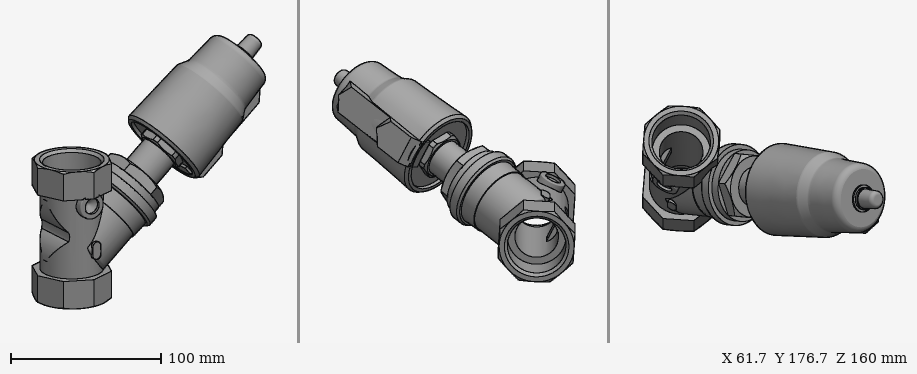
import cadquery as cq
import math


BODY_LENGTH = 97.0
BODY_BOTTOM = -30.6
BODY_TOP = BODY_BOTTOM + BODY_LENGTH
BODY_MIDDLE = BODY_BOTTOM + BODY_LENGTH / 2
PIPE_RADIUS = 21.2
BORE_DIAMETER = 29.0

END_HEIGHT = 20.0
END_SIDES = 8
END_CORNER_DIAMETER = 54.2
END_FACE_RADIUS = 25.0
CORNER_BEVEL_ANGLE = 30.0
THREAD_DIAMETER = 38.95
THREAD_DEPTH = 19.0
THREAD_MOUTH_DIAMETER = 43.0

NOTCH_TOP = 41.7
NOTCH_BOTTOM = -1.2
NOTCH_GROOVE_TOP = 21.9
NOTCH_GROOVE_BOTTOM = 15.5
NOTCH_GROOVE_Y = -13.3
NOTCH_DEEPEST_Y = -12.7
NOTCH_UPPER_RADIUS = 29.0
NOTCH_LOWER_RADIUS = 22.0
NOTCH_EDGE_Y = -21.1

RIDGE_CREST_Y = -11.6
RIDGE_CREST_TOP = 22.5
RIDGE_CREST_BOTTOM = 15.0

BOSS_DIAMETER = 18.2
BOSS_FACE_X = 24.9
BOSS_Z = 40.6
BOSS_EDGE_ROUND = 0.7
BOSS_HOLE_DIAMETER = 11.0
BOSS_HOLE_DEPTH = 2.0
DRILL_TIP_ANGLE = 118.0

PAD_LENGTH = 12.5
PAD_WIDTH = 6.5
PAD_FACE_X = 23.4
PAD_Y = 4.8
PAD_Z = 7.8

BRANCH_ELEVATION = 40.0
VERTICAL = 90.0
BRANCH_START = 4.1
BRANCH_RADIUS = 23.0
BRANCH_END_ROUND = 2.5
BRANCH_STEP = 35.9
BRANCH_STEP_RADIUS = 23.7
BRANCH_TOP_RADIUS = 24.3
FLANGE_START = 47.4
FLANGE_END = 55.5
FLANGE_RADIUS = 27.2
FLANGE_FACE_RADIUS = 51.7 / 2
FLANGE_BEVEL = 1.6
UNION_END = 61.6
UNION_RADIUS = 24.0
NUT_SIDES = 6
UNION_NUT_END = 69.9
UNION_NUT_CORNER_DIAMETER = 48.0
UNION_NUT_FACE_RADIUS = 20.5
NECK_DIAMETER = 26.0
LOCK_NUT_START = 90.6
LOCK_NUT_FLATS = 30.4
LOCK_NUT_CORNER_DIAMETER = LOCK_NUT_FLATS / math.cos(math.pi / NUT_SIDES)
LOCK_NUT_FACE_RADIUS = 29.0 / 2
LOCK_NUT_TURNED_DIAMETER = 33.1

HOUSING_START = 93.6
HOUSING_WIDEST = 95.8
HOUSING_FACE_RADIUS = 29.1
HOUSING_RADIUS = 30.84
HOUSING_RECESS_RADIUS = 26.6
HOUSING_RECESS_DEPTH = 2.6
SHOULDER_START = 142.9
SHOULDER_RADIUS = 28.7
SHOULDER_END = 152.1
SHOULDER_ROUND_RADIUS = 5.0
SHOULDER_CONE_START = (28.0, 144.6)
SHOULDER_CONE_END = (25.1, 150.0)
CAP_BASE_RADIUS = 24.7
CAP_ROUND_START = 171.2
CAP_ROUND_RADIUS = 23.5
CAP_END = 176.5
CAP_FACE_RADIUS = 38.95 / 2

COLLAR_DIAMETER = 18.2
COLLAR_END = 177.7
COLLAR_STEP_RADIUS = 7.5
COLLAR_STEP_END = 179.3
STEM_BASE_RADIUS = 6.6
STEM_TOP_RADIUS = 6.0
STEM_TOP = 189.0
STEM_END = 191.8
STEM_FACE_RADIUS = 3.0

BLOCK_HALF_WIDTH = 10.0
BLOCK_ROOT = 18.0
BLOCK_NEAR_EDGE = 28.8
LONG_BLOCK = {"reach": 29.0, "start": 120.0, "end": 161.9, "mid_end": 167.8}
HIGH_BLOCK = {"reach": 34.1, "start": 99.6, "end": 119.2, "mid_end": 126.9}
BLOCK_MID_SLOPE = 0.5


def cylinder(radius, start, end):
    return cq.Workplane("XY").workplane(offset=start).circle(radius).extrude(end - start)


def bevelled_prism(sides, corner_diameter, start, end, face_radius, bevel_at_end):
    """Upright prism, a corner on +X, with its corners turned down to a cone at one end."""
    prism = (
        cq.Workplane("XY")
        .workplane(offset=start)
        .polygon(sides, corner_diameter)
        .extrude(end - start)
    )
    corner = corner_diameter / 2
    bevel = (corner - face_radius) * math.tan(math.radians(CORNER_BEVEL_ANGLE))
    face, other = (end, start) if bevel_at_end else (start, end)
    bevel_station = end - bevel if bevel_at_end else start + bevel
    envelope = (
        cq.Workplane("XZ")
        .polyline([(0, other), (corner, other), (corner, bevel_station), (face_radius, face), (0, face)])
        .close()
        .revolve(360, (0, 0), (0, 1))
    )
    return prism.intersect(envelope)


def notch():
    """Rounded V groove across the front of the pipe."""
    outside_y = -END_CORNER_DIAMETER
    groove_middle = (NOTCH_GROOVE_TOP + NOTCH_GROOVE_BOTTOM) / 2
    return (
        cq.Workplane("YZ")
        .moveTo(outside_y, NOTCH_TOP)
        .lineTo(NOTCH_EDGE_Y, NOTCH_TOP)
        .radiusArc((NOTCH_GROOVE_Y, NOTCH_GROOVE_TOP), -NOTCH_UPPER_RADIUS)
        .threePointArc((NOTCH_DEEPEST_Y, groove_middle), (NOTCH_GROOVE_Y, NOTCH_GROOVE_BOTTOM))
        .radiusArc((NOTCH_EDGE_Y, NOTCH_BOTTOM), -NOTCH_LOWER_RADIUS)
        .lineTo(outside_y, NOTCH_BOTTOM)
        .close()
        .extrude(PIPE_RADIUS, both=True)
    )


def bore_ridge():
    """Wedge that keeps the bore clear of the notch."""
    flank = PIPE_RADIUS + RIDGE_CREST_Y
    return (
        cq.Workplane("YZ")
        .polyline([
            (-PIPE_RADIUS, RIDGE_CREST_BOTTOM - flank),
            (RIDGE_CREST_Y, RIDGE_CREST_BOTTOM),
            (RIDGE_CREST_Y, RIDGE_CREST_TOP),
            (-PIPE_RADIUS, RIDGE_CREST_TOP + flank),
        ])
        .close()
        .extrude(PIPE_RADIUS, both=True)
    )


def pipe_body():
    body = cylinder(PIPE_RADIUS, BODY_BOTTOM, BODY_TOP).cut(notch())
    lower_end = bevelled_prism(
        END_SIDES, END_CORNER_DIAMETER, BODY_BOTTOM, BODY_BOTTOM + END_HEIGHT, END_FACE_RADIUS, False
    )
    upper_end = bevelled_prism(
        END_SIDES, END_CORNER_DIAMETER, BODY_TOP - END_HEIGHT, BODY_TOP, END_FACE_RADIUS, True
    )
    return body.union(lower_end).union(upper_end)


def pipe_bore():
    """Through bore narrowed by the ridge, with a chamfered thread bore at each end."""
    bore = cylinder(BORE_DIAMETER / 2, BODY_BOTTOM, BODY_TOP).cut(bore_ridge())
    thread_radius = THREAD_DIAMETER / 2
    mouth_radius = THREAD_MOUTH_DIAMETER / 2
    mouth_depth = mouth_radius - thread_radius
    upper_thread = (
        cq.Workplane("XZ")
        .polyline([
            (0, BODY_TOP - THREAD_DEPTH),
            (thread_radius, BODY_TOP - THREAD_DEPTH),
            (thread_radius, BODY_TOP - mouth_depth),
            (mouth_radius, BODY_TOP),
            (0, BODY_TOP),
        ])
        .close()
        .revolve(360, (0, 0), (0, 1))
    )
    lower_thread = upper_thread.mirror("XY", (0, 0, BODY_MIDDLE))
    return bore.union(upper_thread).union(lower_thread)


def side_boss():
    """Boss on the +X side with a drilled blind hole."""
    boss = (
        cq.Workplane("YZ")
        .center(0, BOSS_Z)
        .circle(BOSS_DIAMETER / 2)
        .extrude(BOSS_FACE_X)
        .faces(">X")
        .edges()
        .fillet(BOSS_EDGE_ROUND)
    )
    hole_radius = BOSS_HOLE_DIAMETER / 2
    shoulder_x = BOSS_FACE_X - BOSS_HOLE_DEPTH
    tip_x = shoulder_x - hole_radius / math.tan(math.radians(DRILL_TIP_ANGLE / 2))
    hole = (
        cq.Workplane("XZ")
        .polyline([
            (tip_x, BOSS_Z),
            (shoulder_x, BOSS_Z + hole_radius),
            (BOSS_FACE_X, BOSS_Z + hole_radius),
            (BOSS_FACE_X, BOSS_Z),
        ])
        .close()
        .revolve(360, (0, BOSS_Z), (1, BOSS_Z))
    )
    return boss, hole


def side_pad():
    """Raised slot-shaped pad on the +X side."""
    return (
        cq.Workplane("YZ")
        .center(PAD_Y, PAD_Z)
        .slot2D(PAD_LENGTH, PAD_WIDTH, VERTICAL)
        .extrude(PAD_FACE_X)
    )


def branch():
    """Branch with its flange and union, along +Z."""
    return (
        cq.Workplane("XZ")
        .moveTo(0, BRANCH_START)
        .lineTo(BRANCH_RADIUS - BRANCH_END_ROUND, BRANCH_START)
        .radiusArc((BRANCH_RADIUS, BRANCH_START + BRANCH_END_ROUND), -BRANCH_END_ROUND)
        .lineTo(BRANCH_RADIUS, BRANCH_STEP)
        .lineTo(BRANCH_STEP_RADIUS, BRANCH_STEP)
        .lineTo(BRANCH_TOP_RADIUS, FLANGE_START)
        .lineTo(FLANGE_FACE_RADIUS, FLANGE_START)
        .lineTo(FLANGE_RADIUS, FLANGE_START + FLANGE_BEVEL)
        .lineTo(FLANGE_RADIUS, FLANGE_END)
        .lineTo(UNION_RADIUS, FLANGE_END)
        .lineTo(UNION_RADIUS, UNION_END)
        .lineTo(0, UNION_END)
        .close()
        .revolve(360, (0, 0), (0, 1))
    )


def housing():
    """Actuator housing, collar and stem, along +Z."""
    cap_round = CAP_END - CAP_ROUND_START
    return (
        cq.Workplane("XZ")
        .moveTo(0, HOUSING_START + HOUSING_RECESS_DEPTH)
        .lineTo(HOUSING_RECESS_RADIUS, HOUSING_START + HOUSING_RECESS_DEPTH)
        .lineTo(HOUSING_RECESS_RADIUS, HOUSING_START)
        .lineTo(HOUSING_FACE_RADIUS, HOUSING_START)
        .lineTo(HOUSING_RADIUS, HOUSING_WIDEST)
        .lineTo(SHOULDER_RADIUS, SHOULDER_START)
        .radiusArc(SHOULDER_CONE_START, -SHOULDER_ROUND_RADIUS)
        .lineTo(*SHOULDER_CONE_END)
        .radiusArc((CAP_BASE_RADIUS, SHOULDER_END), SHOULDER_ROUND_RADIUS)
        .lineTo(CAP_ROUND_RADIUS, CAP_ROUND_START)
        .radiusArc((CAP_FACE_RADIUS, CAP_END), -cap_round)
        .lineTo(COLLAR_DIAMETER / 2, CAP_END)
        .lineTo(COLLAR_DIAMETER / 2, COLLAR_END)
        .lineTo(COLLAR_STEP_RADIUS, COLLAR_END)
        .lineTo(COLLAR_STEP_RADIUS, COLLAR_STEP_END)
        .lineTo(STEM_BASE_RADIUS, COLLAR_STEP_END)
        .lineTo(STEM_TOP_RADIUS, STEM_TOP)
        .radiusArc((STEM_FACE_RADIUS, STEM_END), STEM_TOP - STEM_END)
        .lineTo(0, STEM_END)
        .close()
        .revolve(360, (0, 0), (0, 1))
    )


def neck_and_nuts():
    neck = cylinder(NECK_DIAMETER / 2, UNION_END, CAP_ROUND_START)
    union_nut = bevelled_prism(
        NUT_SIDES, UNION_NUT_CORNER_DIAMETER, UNION_END, UNION_NUT_END, UNION_NUT_FACE_RADIUS, True
    )
    nut_end = HOUSING_START + HOUSING_RECESS_DEPTH
    lock_nut = bevelled_prism(
        NUT_SIDES, LOCK_NUT_CORNER_DIAMETER, LOCK_NUT_START, nut_end, LOCK_NUT_FACE_RADIUS, False
    ).intersect(cylinder(LOCK_NUT_TURNED_DIAMETER / 2, LOCK_NUT_START, nut_end))
    return neck.union(union_nut).union(lock_nut)


def port_block(reach, start, end, mid_end):
    """Block on the +Y side of the housing; sloped ends, the far one set back towards the sides."""
    height = reach - BLOCK_ROOT
    near_end = start - (reach - BLOCK_NEAR_EDGE)
    middle = [
        (BLOCK_ROOT, near_end),
        (BLOCK_NEAR_EDGE, near_end),
        (reach, start),
        (reach, mid_end),
        (BLOCK_ROOT, mid_end + height * BLOCK_MID_SLOPE),
    ]
    side = [
        (BLOCK_ROOT, near_end),
        (BLOCK_NEAR_EDGE, near_end),
        (reach, start),
        (reach, end),
        (BLOCK_ROOT, end + height),
    ]
    half = (
        cq.Workplane("YZ")
        .polyline(middle)
        .close()
        .workplane(offset=BLOCK_HALF_WIDTH)
        .polyline(side)
        .close()
        .loft(ruled=True)
    )
    return half.union(half.mirror("YZ"))


def actuator():
    unit = branch().union(neck_and_nuts()).union(housing())
    for block in (LONG_BLOCK, HIGH_BLOCK):
        unit = unit.union(port_block(**block))
    return unit.rotate((0, 0, 0), (1, 0, 0), BRANCH_ELEVATION - VERTICAL)


result = pipe_body().union(actuator())
boss, boss_hole = side_boss()
pad = side_pad()
for feature in (boss, pad):
    result = result.union(feature).union(feature.mirror("YZ"))
result = result.cut(pipe_bore()).cut(boss_hole).cut(boss_hole.mirror("YZ"))